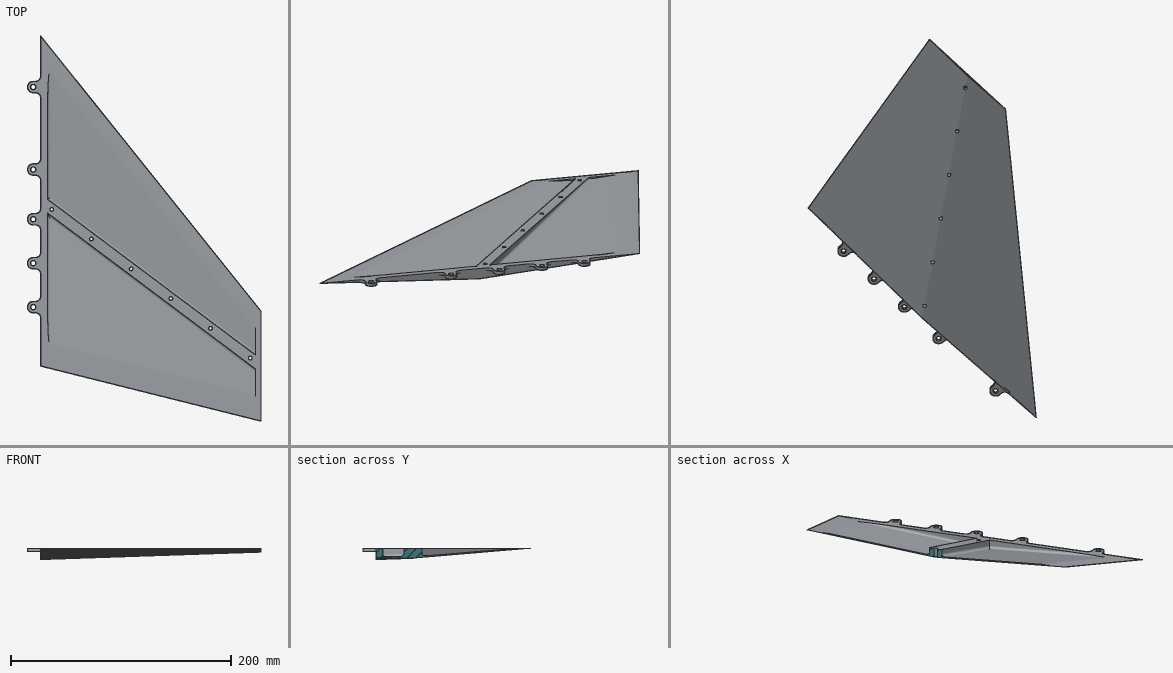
import cadquery as cq

span = 200.2
root_trailing_y = 50.0
root_leading_y = 350.0
root_depth = 10.0
taper_ratio = 1 / 3
tip_leading_y = (root_leading_y - root_trailing_y) * taper_ratio
root_ridge_y = (root_leading_y + root_trailing_y) / 2
tip_ridge_y = tip_leading_y / 2

skin_thickness = 1.47
root_wall = 6.3
tip_wall = 5.2
spar_half_width_y = 6.3
pocket_fillet = 2.0

screw_count = 6
first_screw_x = 10.0
screw_pitch = 36.0
screw_diameter = 3.0

lug_positions_y = (103.5, 143.5, 183.5, 228.5, 303.5)
lug_reach = 12.0
lug_radius = 5.2
lug_thickness = 2.8
lug_hole_diameter = 4.5
lug_root_fillet = 4.5
lug_overlap = 1.8

clearance = 7.0


def edge_y(root_y, tip_y, x):
    """Y of a straight spanwise edge at station x."""
    return root_y + (tip_y - root_y) * x / span


def ridge_y(x):
    return edge_y(root_ridge_y, tip_ridge_y, x)


def wing_body():
    """Loft the triangular root section to the similar tip section."""
    root = [(root_trailing_y, 0), (root_leading_y, 0), (root_ridge_y, -root_depth)]
    tip = [(0, 0), (tip_leading_y, 0), (tip_ridge_y, -root_depth * taper_ratio)]
    return (
        cq.Workplane("YZ").polyline(root).close()
        .workplane(offset=span).polyline(tip).close()
        .loft(ruled=True)
    )


def pocket(root_outer_y, tip_outer_y, side):
    """Cutter for one pocket, with its floor parallel to the lower skin.

    side is +1 ahead of the spar and -1 behind it.
    """

    def section(x):
        scale = edge_y(1, taper_ratio, x)
        depth = root_depth * scale
        outer_y = edge_y(root_outer_y, tip_outer_y, x)
        slope = depth / (outer_y - ridge_y(x))
        inner_y = ridge_y(x) + side * spar_half_width_y
        rim_y = outer_y - skin_thickness / slope
        floor_z = slope * (inner_y - rim_y)
        top_outer_y = rim_y + clearance / slope
        return [(inner_y, floor_z), (top_outer_y, clearance), (inner_y, clearance)]

    root_x = root_wall
    tip_x = span - tip_wall
    cutter = (
        cq.Workplane("YZ", origin=(root_x, 0, 0)).polyline(section(root_x)).close()
        .workplane(offset=tip_x - root_x).polyline(section(tip_x)).close()
        .loft(ruled=True)
    )

    def floor_edge(x):
        inner, outer, _ = section(x)
        return (x, (inner[0] + outer[0]) / 2, (inner[1] + outer[1]) / 2)

    inner_root = section(root_x)[0]
    inner_tip = section(tip_x)[0]
    spar_edge = tuple((a + b) / 2 for a, b in zip((root_x, *inner_root), (tip_x, *inner_tip)))
    edges = [
        cutter.edges(cq.selectors.NearestToPointSelector(point)).val()
        for point in (floor_edge(root_x), spar_edge)
    ]
    return cutter.newObject(edges).fillet(pocket_fillet)


def hinge_lug(y):
    """Rounded lug with filleted corners where it leaves the root face."""
    eye_x = lug_radius - lug_reach
    flare = lug_radius + lug_root_fillet
    return (
        cq.Workplane("XY")
        .moveTo(lug_overlap, y - flare)
        .lineTo(0, y - flare)
        .radiusArc((-lug_root_fillet, y - lug_radius), -lug_root_fillet)
        .lineTo(eye_x, y - lug_radius)
        .threePointArc((-lug_reach, y), (eye_x, y + lug_radius))
        .lineTo(-lug_root_fillet, y + lug_radius)
        .radiusArc((0, y + flare), -lug_root_fillet)
        .lineTo(lug_overlap, y + flare)
        .close()
        .extrude(-lug_thickness)
    )


def drill(points, diameter):
    return (
        cq.Workplane("XY", origin=(0, 0, clearance))
        .pushPoints(points)
        .circle(diameter / 2)
        .extrude(-(root_depth + 2 * clearance))
    )


wing = wing_body()
wing = wing.cut(pocket(root_leading_y, tip_leading_y, 1))
wing = wing.cut(pocket(root_trailing_y, 0, -1))

for lug_y in lug_positions_y:
    wing = wing.union(hinge_lug(lug_y))

lug_holes = [(lug_radius - lug_reach, y) for y in lug_positions_y]
wing = wing.cut(drill(lug_holes, lug_hole_diameter))

screw_stations = [first_screw_x + i * screw_pitch for i in range(screw_count)]
screw_holes = [(x, ridge_y(x)) for x in screw_stations]
wing = wing.cut(drill(screw_holes, screw_diameter))

result = wing